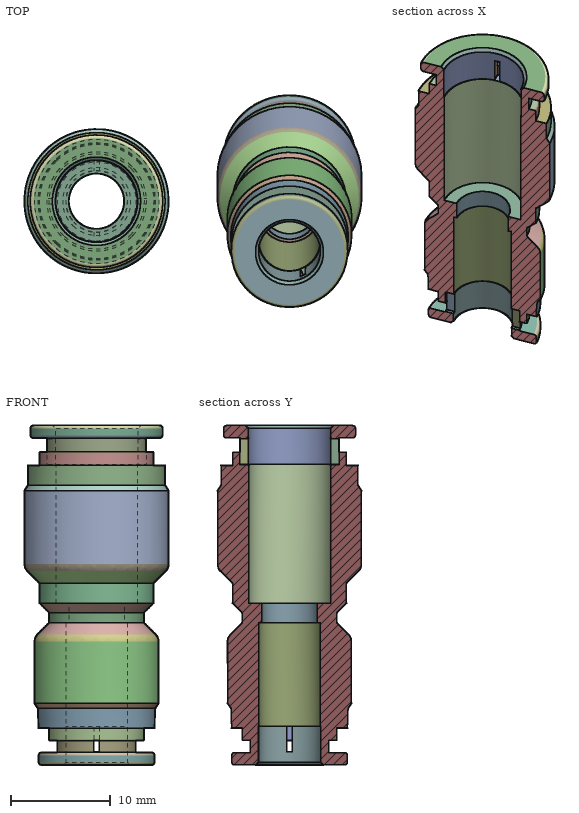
import cadquery as cq

TOTAL_HEIGHT = 34.1

UPPER_FLANGE_RADIUS = 6.65
LOWER_FLANGE_RADIUS = 5.83
FLANGE_THICKNESS = 1.3
FLANGE_ROUND = 0.35
UPPER_NECK_RADIUS = 4.98
LOWER_NECK_RADIUS = 3.95

UPPER_COLLAR_RADIUS = 5.73
LOWER_COLLAR_RADIUS = 4.77
UPPER_COLLAR_END = 31.45
LOWER_COLLAR_END = 2.45
COLLAR_ROUND = 0.15

UPPER_RING_RADIUS = 6.9
UPPER_RING_END = 30.08
UPPER_RING_BASE = 28.1
LOWER_RING_TIP_RADIUS = 5.83
LOWER_RING_BASE_RADIUS = 5.9
LOWER_RING_END = 3.7
LOWER_RING_BASE = 5.7

WAIST_RADIUS = 5.73
WAIST_TOP = 18.25
WAIST_BOTTOM = 16.25
GROOVE_RADIUS = 4.77
GROOVE_TOP = 15.3
GROOVE_BOTTOM = 14.3

UPPER_BODY_RADIUS = 14.5 / 2
UPPER_BODY_CHAMFER_Z = 27.55
UPPER_CONE_CORNER_Z = WAIST_TOP + (UPPER_BODY_RADIUS - WAIST_RADIUS)

LOWER_BODY_RADIUS = 6.25
LOWER_BODY_CHAMFER_Z = 6.2
LOWER_CONE_CORNER_Z = GROOVE_BOTTOM - (LOWER_BODY_RADIUS - GROOVE_RADIUS)

SHOULDER_ROUND = 1.0

STOP_HOLE_RADIUS = 2.75
COLLET_WALL = 0.85
UPPER_BORE_RADIUS = UPPER_NECK_RADIUS - COLLET_WALL
LOWER_BORE_RADIUS = LOWER_NECK_RADIUS - COLLET_WALL
COLLET_DEPTH = 3.92
SOCKET_STEP = 0.05
MOUTH_CHAMFER = 0.3
UPPER_SOCKET_FLOOR = WAIST_BOTTOM
LOWER_SOCKET_FLOOR = GROOVE_BOTTOM

SLOT_WIDTH = 0.55
SLOT_START = 1.35
SLOT_LENGTH = COLLET_DEPTH - SLOT_START


def revolved(outline):
    """Turn a closed (radius, height) outline about the Z axis."""
    return cq.Workplane("XZ").polyline(outline).close().revolve(360, (0, 0), (0, 1))


def outer_body():
    """Solid of revolution of the stepped outline, before rounding."""
    outline = [
        (0, 0),
        (LOWER_FLANGE_RADIUS, 0),
        (LOWER_FLANGE_RADIUS, FLANGE_THICKNESS),
        (LOWER_NECK_RADIUS, FLANGE_THICKNESS),
        (LOWER_NECK_RADIUS, LOWER_COLLAR_END),
        (LOWER_COLLAR_RADIUS, LOWER_COLLAR_END),
        (LOWER_COLLAR_RADIUS, LOWER_RING_END),
        (LOWER_RING_TIP_RADIUS, LOWER_RING_END),
        (LOWER_RING_BASE_RADIUS, LOWER_RING_BASE),
        (LOWER_BODY_RADIUS, LOWER_BODY_CHAMFER_Z),
        (LOWER_BODY_RADIUS, LOWER_CONE_CORNER_Z),
        (GROOVE_RADIUS, GROOVE_BOTTOM),
        (GROOVE_RADIUS, GROOVE_TOP),
        (WAIST_RADIUS, WAIST_BOTTOM),
        (WAIST_RADIUS, WAIST_TOP),
        (UPPER_BODY_RADIUS, UPPER_CONE_CORNER_Z),
        (UPPER_BODY_RADIUS, UPPER_BODY_CHAMFER_Z),
        (UPPER_RING_RADIUS, UPPER_RING_BASE),
        (UPPER_RING_RADIUS, UPPER_RING_END),
        (UPPER_COLLAR_RADIUS, UPPER_RING_END),
        (UPPER_COLLAR_RADIUS, UPPER_COLLAR_END),
        (UPPER_NECK_RADIUS, UPPER_COLLAR_END),
        (UPPER_NECK_RADIUS, TOTAL_HEIGHT - FLANGE_THICKNESS),
        (UPPER_FLANGE_RADIUS, TOTAL_HEIGHT - FLANGE_THICKNESS),
        (UPPER_FLANGE_RADIUS, TOTAL_HEIGHT),
        (0, TOTAL_HEIGHT),
    ]
    return revolved(outline)


def round_rim(body, radius, height, rounding):
    """Fillet the circular outer edge of the given radius at the given height."""
    margin = 0.017
    reach = radius + margin
    level = cq.selectors.BoxSelector(
        (-reach, -reach, height - margin),
        (reach, reach, height + margin),
        boundingbox=True,
    )
    rims = [
        edge
        for edge in body.edges(level).vals()
        if edge.geomType() == "CIRCLE" and abs(edge.radius() - radius) < margin
    ]
    return body.newObject(rims).fillet(rounding)


def passage():
    """Solid of revolution of everything the bore removes, from the lower mouth to the upper one."""
    lower_socket_radius = LOWER_BORE_RADIUS - SOCKET_STEP
    upper_socket_radius = UPPER_BORE_RADIUS - SOCKET_STEP
    upper_collet_end = TOTAL_HEIGHT - COLLET_DEPTH
    outline = [
        (0, 0),
        (LOWER_BORE_RADIUS + MOUTH_CHAMFER, 0),
        (LOWER_BORE_RADIUS, MOUTH_CHAMFER),
        (LOWER_BORE_RADIUS, COLLET_DEPTH),
        (lower_socket_radius, COLLET_DEPTH),
        (lower_socket_radius, LOWER_SOCKET_FLOOR),
        (STOP_HOLE_RADIUS, LOWER_SOCKET_FLOOR),
        (STOP_HOLE_RADIUS, UPPER_SOCKET_FLOOR),
        (upper_socket_radius, UPPER_SOCKET_FLOOR),
        (upper_socket_radius, upper_collet_end),
        (UPPER_BORE_RADIUS, upper_collet_end),
        (UPPER_BORE_RADIUS, TOTAL_HEIGHT - MOUTH_CHAMFER),
        (UPPER_BORE_RADIUS + MOUTH_CHAMFER, TOTAL_HEIGHT),
        (0, TOTAL_HEIGHT),
    ]
    return revolved(outline)


def neck_slots(neck_radius, bottom):
    """Pair of opposite slots along X, ending at the outer surface of the neck."""
    bar = cq.Workplane("XY").box(2 * neck_radius, SLOT_WIDTH, SLOT_LENGTH, centered=(True, True, False))
    neck = cq.Workplane("XY").circle(neck_radius).extrude(SLOT_LENGTH)
    return bar.intersect(neck).translate((0, 0, bottom))


result = outer_body()
for radius, height, rounding in [
    (LOWER_FLANGE_RADIUS, 0, FLANGE_ROUND),
    (LOWER_FLANGE_RADIUS, FLANGE_THICKNESS, FLANGE_ROUND),
    (LOWER_COLLAR_RADIUS, LOWER_COLLAR_END, COLLAR_ROUND),
    (LOWER_BODY_RADIUS, LOWER_CONE_CORNER_Z, SHOULDER_ROUND),
    (UPPER_BODY_RADIUS, UPPER_CONE_CORNER_Z, SHOULDER_ROUND),
    (UPPER_COLLAR_RADIUS, UPPER_COLLAR_END, COLLAR_ROUND),
    (UPPER_FLANGE_RADIUS, TOTAL_HEIGHT - FLANGE_THICKNESS, FLANGE_ROUND),
    (UPPER_FLANGE_RADIUS, TOTAL_HEIGHT, FLANGE_ROUND),
]:
    result = round_rim(result, radius, height, rounding)

result = result.cut(passage())

upper_slots = neck_slots(UPPER_NECK_RADIUS, TOTAL_HEIGHT - COLLET_DEPTH)
lower_slots = neck_slots(LOWER_NECK_RADIUS, SLOT_START).rotate((0, 0, 0), (0, 0, 1), 90)
result = result.cut(upper_slots).cut(lower_slots)